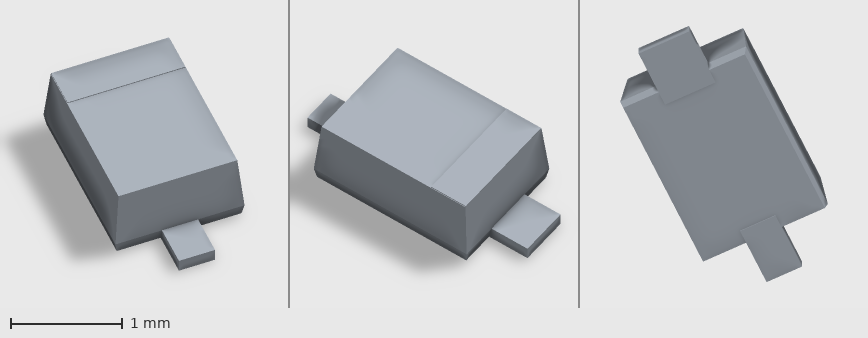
import cadquery as cq
import math

overall_length = 2.5
overall_height = 0.71

body_length = 1.7
body_width = 1.25
standoff = 0.012
upper_draft = 5.0
lower_draft = 10.0

lead_thickness = 0.13
lead_length = 0.55
wide_lead_width = 0.5
narrow_lead_width = 0.35

band_height = 0.01
band_length = 0.385
band_side_margin = 0.005

parting_z = lead_thickness
body_top_z = overall_height - band_height
upper_height = body_top_z - parting_z
lower_height = parting_z - standoff
top_inset = upper_height * math.tan(math.radians(upper_draft))


def drafted_half(height, draft):
    """Half of the body, tapering from the parting line; negative height goes down."""
    return (
        cq.Workplane("XY")
        .workplane(offset=parting_z)
        .rect(body_length, body_width)
        .extrude(height, taper=draft)
    )


def lead(width, side):
    """Flat lead reaching the package end; side is -1 or +1 along X."""
    center_x = side * (overall_length - lead_length) / 2
    return (
        cq.Workplane("XY")
        .center(center_x, 0)
        .rect(lead_length, width)
        .extrude(lead_thickness)
    )


def polarity_band():
    """Thin band across the top face, flush with its edge at the wide-lead end."""
    start_x = -body_length / 2 + top_inset
    band_width = body_width - 2 * (top_inset + band_side_margin)
    return (
        cq.Workplane("XY")
        .workplane(offset=body_top_z)
        .center(start_x + band_length / 2, 0)
        .rect(band_length, band_width)
        .extrude(band_height)
    )


body = drafted_half(upper_height, upper_draft).union(drafted_half(-lower_height, lower_draft))

result = (
    body
    .union(lead(wide_lead_width, -1))
    .union(lead(narrow_lead_width, 1))
    .union(polarity_band())
)